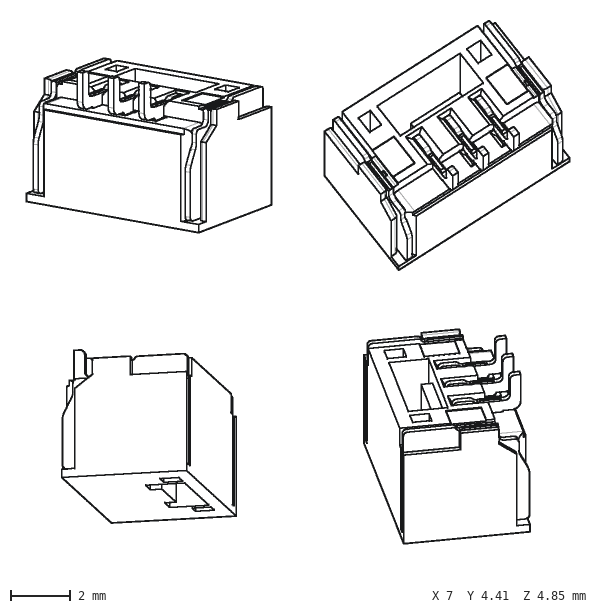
import cadquery as cq


width = 7.0
depth = 4.305
base_height = 0.29
top_height = 4.04

half_width = width / 2
plate_inner_x = 3.205
plate_edge_round = 0.14
core_half_width = 2.99
step_half_width = 3.03
plate_front_y = 0.45
plate_slope_bottom = 3.025

step_wall_y = 1.06
step_height = 3.485
step_round = 0.25
front_ledge_depth = 0.1
front_ledge_height = 3.29
corner_cut_x = 0.25
corner_cut_y = 0.32

block_half_width = 2.78
shoulder_height = 3.94
shoulder_round = 0.11
shoulder_notch_floor = 3.84
shoulder_notch_front_y = 1.555
shoulder_notch_length = 0.195
notch_height = 3.4
notch_front_y = 2.36

window_half_width = 1.7
window_front_y = 2.45
window_rear_y = 3.8
ledge_half_width = 1.0
ledge_depth = 0.39
side_hole_front_y = 3.15
side_hole_inner_x = 1.98
left_hole_width = 0.48
right_hole_width = 0.56

pad_inner_x = 1.89
pad_front_y = 1.35
pad_rear_y = 2.555
pad_recess = 0.035

pin_pitch = 1.25
pin_width = 0.225
pin_top = 4.85
pin_front_y = -0.1
pin_rear_y = 2.21
pin_post_depth = 0.365
pin_plateau = 4.02
pin_plateau_front_y = 1.55
pin_shelf = 3.92
pin_shelf_rear_y = 1.45
pin_underside = 3.535
pin_root = 3.43
pin_root_front_y = 0.56
pin_root_ramp = 0.07
pin_rib_top = 3.96
pin_rib_front_y = 0.66
pin_rib_rear_y = 1.26
pin_rib_ramp = 0.105
pin_bevel = 0.05
pin_rear_round = 0.18
pin_plateau_round = 0.2
pin_shelf_round = 0.12
pin_inner_bend = 0.19
pin_outer_bend = 0.295
pin_tip_round = 0.155
groove_half_width = 0.28
wide_groove_half_width = 0.33
groove_rear_y = 2.31
groove_flare_depth = 0.21
groove_end_run = 0.14
pocket_front_y = 0.36
nose_depth = 0.14
nose_drop = 0.035
nose_round = 0.13

clip_thickness = 0.2
clip_top = 4.095
clip_top_front_y = 2.485
clip_bottom = 0.335
clip_dip = 3.96
clip_dip_rear_y = 2.4
clip_rib_top = 4.02
clip_rib_rear_y = 2.21
clip_rib_ramp = 0.105
clip_bevel = 0.05
clip_front_y = -0.05
clip_rear_y = 4.255
clip_shin_y = 0.315
clip_shoulder_y = 1.015
clip_seat_height = 3.44
clip_slope_top = 2.885
clip_slope_bottom = 2.185
clip_slope_round = 0.49
clip_round = 0.14
clip_top_round = 0.125
clip_seat_round = 0.2
clip_toe_round = 0.17


def block(x0, x1, y0, y1, z0, z1):
    """Box between two opposite corners."""
    return cq.Workplane("XY").box(x1 - x0, y1 - y0, z1 - z0, centered=False).translate((x0, y0, z0))


def rounded_prism(corners, x0, x1):
    """Prism along X from (y, z, radius) corners; a radius of zero leaves the corner sharp."""
    points = [(y, z) for y, z, _ in corners]
    prism = cq.Workplane("YZ").workplane(offset=x0).polyline(points).close().extrude(x1 - x0)
    for y, z, radius in corners:
        if radius:
            prism = prism.edges(cq.NearestToPointSelector(((x0 + x1) / 2, y, z))).fillet(radius)
    return prism


def bevel_rib(strip, x0, x1, y0, y1, top, size):
    """Bevel both long top edges of a strip between two Y places."""
    for edge_x, inward in ((x0, 1), (x1, -1)):
        wedge = (
            cq.Workplane("XZ", origin=(0, y1, 0))
            .moveTo(edge_x, top - size)
            .lineTo(edge_x + inward * size, top)
            .lineTo(edge_x, top)
            .close()
            .extrude(y1 - y0)
        )
        strip = strip.cut(wedge)
    return strip


def both_sides(shape):
    """The shape together with its mirror image across the middle of the width."""
    return shape.union(shape.mirror("YZ"))


def make_core():
    """Middle of the housing: step, shoulders, low rear sides and the upper block."""
    step = block(-step_half_width, step_half_width, 0, step_wall_y, 0, step_height)
    step = step.edges("|Y and >Z").fillet(step_round)
    shoulders = block(-core_half_width, core_half_width, step_wall_y, notch_front_y, 0, shoulder_height)
    shoulders = shoulders.edges("|Y and >Z").fillet(shoulder_round)
    dent = block(
        core_half_width - shoulder_round,
        core_half_width,
        shoulder_notch_front_y,
        shoulder_notch_front_y + shoulder_notch_length,
        shoulder_notch_floor,
        shoulder_height,
    )
    shoulders = shoulders.cut(both_sides(dent))
    rear = block(-core_half_width, core_half_width, notch_front_y, depth, 0, notch_height)
    rear = rear.edges("|Y and >Z").fillet(shoulder_round)
    upper = block(-block_half_width, block_half_width, step_wall_y, depth, 0, top_height)
    step = step.cut(block(-half_width, half_width, 0, front_ledge_depth, front_ledge_height, step_height))
    corner = (
        cq.Workplane("XY")
        .moveTo(step_half_width - corner_cut_x, 0)
        .lineTo(step_half_width, corner_cut_y)
        .lineTo(step_half_width, 0)
        .close()
        .extrude(step_height)
    )
    return step.cut(both_sides(corner)).union(shoulders).union(rear).union(upper)


def make_side_plate():
    """Right-hand plate with its inner edges rounded."""
    rear = block(plate_inner_x, half_width, notch_front_y, depth, 0, notch_height)
    rear = rear.edges("<X and >Z").fillet(plate_edge_round)
    outline = [
        (notch_front_y, 0),
        (notch_front_y, top_height),
        (step_wall_y, top_height),
        (step_wall_y, step_height),
        (plate_front_y, plate_slope_bottom),
        (plate_front_y, 0),
    ]
    front = cq.Workplane("YZ").workplane(offset=plate_inner_x).polyline(outline).close()
    front = front.extrude(half_width - plate_inner_x)
    front = front.faces("<X").edges("not(<Z or >Y)").fillet(plate_edge_round)
    return front.union(rear)


def cut_openings(body):
    """Window with its inner ledge, the two small side holes and the label pads."""
    window = block(-window_half_width, window_half_width, window_front_y, window_rear_y, 0, top_height)
    ledge_rear_y = window_front_y + ledge_depth
    ledge = block(-ledge_half_width, ledge_half_width, window_front_y, ledge_rear_y, 0, step_height)
    body = body.cut(window.cut(ledge))
    left_x = -side_hole_inner_x - left_hole_width
    right_x = side_hole_inner_x + right_hole_width
    body = body.cut(block(left_x, -side_hole_inner_x, side_hole_front_y, window_rear_y, 0, top_height))
    body = body.cut(block(side_hole_inner_x, right_x, side_hole_front_y, window_rear_y, 0, top_height))
    pad = block(pad_inner_x, block_half_width, pad_front_y, pad_rear_y, top_height - pad_recess, top_height)
    return body.cut(both_sides(pad))


def flared_cut(x, half, y0, y1, top):
    """Trough with sloping walls, narrowing from its mouth to the width of a pin."""
    mouth = cq.Workplane("XY", origin=(x, (y0 + y1) / 2, top)).rect(2 * half, y1 - y0)
    floor = mouth.workplane(offset=-groove_flare_depth).rect(pin_width, y1 - y0 - 2 * groove_end_run)
    return floor.loft(ruled=True)


def pocket_nose(x, half):
    """Rounded foot of the step wall, filling the rear of a pocket."""
    top = step_height - nose_drop
    nose = block(x - half, x + half, step_wall_y - nose_depth, step_wall_y, base_height, top)
    return nose.edges("<Y and >Z").fillet(nose_round)


def make_pin(x):
    """L-shaped pin lying in its groove, with the post standing up at the front."""
    corners = [
        (pin_rear_y, pin_root, 0),
        (pin_rear_y, pin_plateau, pin_rear_round),
        (pin_plateau_front_y, pin_plateau, pin_plateau_round),
        (pin_shelf_rear_y, pin_shelf, pin_shelf_round),
        (pin_rib_rear_y + pin_rib_ramp, pin_shelf, 0),
        (pin_rib_rear_y, pin_rib_top, 0),
        (pin_rib_front_y, pin_rib_top, 0),
        (pin_rib_front_y - pin_rib_ramp, pin_shelf, 0),
        (pin_front_y + pin_post_depth, pin_shelf, pin_inner_bend),
        (pin_front_y + pin_post_depth, pin_top, pin_tip_round),
        (pin_front_y, pin_top, 0),
        (pin_front_y, pin_underside, pin_outer_bend),
        (pin_root_front_y - pin_root_ramp, pin_underside, 0),
        (pin_root_front_y, pin_root, 0),
    ]
    x0 = x - pin_width / 2
    x1 = x + pin_width / 2
    bevel_front_y = pin_rib_front_y - pin_rib_ramp
    bevel_rear_y = pin_rib_rear_y + pin_rib_ramp
    pin = rounded_prism(corners, x0, x1)
    return bevel_rib(pin, x0, x1, bevel_front_y, bevel_rear_y, pin_rib_top, pin_bevel)


def make_clip():
    """Right-hand solder clip standing in its slot."""
    rib_ramp_rear_y = clip_rib_rear_y + clip_rib_ramp
    corners = [
        (clip_rear_y, clip_bottom, 0),
        (clip_rear_y, clip_top, clip_round),
        (clip_top_front_y, clip_top, clip_top_round),
        (clip_dip_rear_y, clip_dip, clip_round),
        (rib_ramp_rear_y, clip_dip, 0),
        (clip_rib_rear_y, clip_rib_top, 0),
        (clip_shoulder_y, clip_rib_top, 0),
        (clip_shoulder_y, clip_seat_height, clip_seat_round),
        (clip_shin_y, clip_seat_height, clip_round),
        (clip_shin_y, clip_slope_top, clip_slope_round),
        (clip_front_y, clip_slope_bottom, clip_slope_round),
        (clip_front_y, clip_bottom, clip_toe_round),
    ]
    x0 = core_half_width
    x1 = core_half_width + clip_thickness
    clip = rounded_prism(corners, x0, x1)
    return bevel_rib(clip, x0, x1, clip_shoulder_y, rib_ramp_rear_y, clip_rib_top, clip_bevel)


base = block(-half_width, half_width, 0, depth, 0, base_height)
housing = make_core().union(base).union(both_sides(make_side_plate()))
housing = cut_openings(housing)

for index in (-1, 0, 1):
    pin_x = index * pin_pitch
    half = wide_groove_half_width if index == -1 else groove_half_width
    housing = housing.cut(flared_cut(pin_x, half, 0, groove_rear_y, top_height))
    if index != -1:
        pocket_rear_y = step_wall_y + groove_end_run
        housing = housing.cut(flared_cut(pin_x, half, pocket_front_y, pocket_rear_y, step_height))
        housing = housing.union(pocket_nose(pin_x, half))

result = housing.union(both_sides(make_clip()))
for index in (-1, 0, 1):
    result = result.union(make_pin(index * pin_pitch))